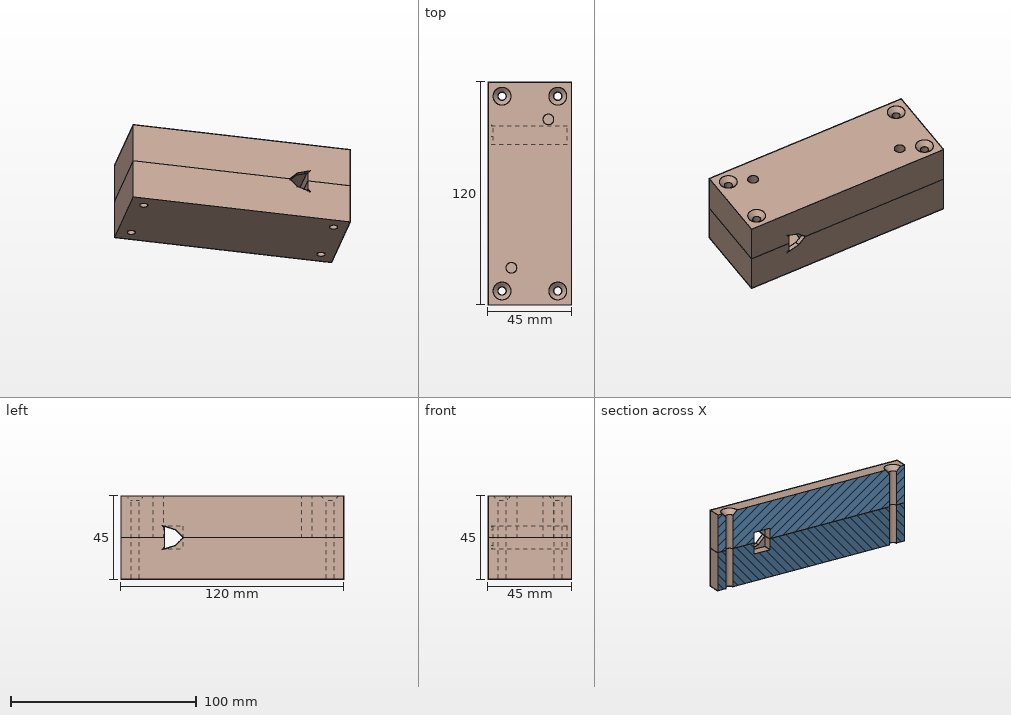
import cadquery as cq

WIDTH = 45.0
LENGTH = 120.0
HEIGHT = 45.0
HALF_HEIGHT = HEIGHT / 2
UPPER = 1
LOWER = -1

SCREW_X = 15.0
SCREW_Y = 52.5
SCREW_RADIUS = 2.2
SINK_RADIUS = 4.8
SINK_DEPTH = SINK_RADIUS - SCREW_RADIUS

DOWEL_X = 10.0
DOWEL_Y = 40.0
DOWEL_RADIUS = 2.9

TIP_Y = 26.5
SHOULDER_Z = 4.2
SHOULDER_Y = TIP_Y + SHOULDER_Z
WALL_Y = 36.5
ROOF_SLOPE = 0.32
ROOF_Z = SHOULDER_Z + ROOF_SLOPE * (WALL_Y - SHOULDER_Y)
BARB_LENGTH = 1.5
BARB_ROOT_Z = 5.0
BARB_TIP_Z = ROOF_Z + ROOF_SLOPE * BARB_LENGTH
LIP = 2.5
CHAMBER_Z = 6.2


def block(side):
    """Plain half block above (side = 1) or below (side = -1) the parting plane."""
    return cq.Workplane().box(WIDTH, LENGTH, HALF_HEIGHT).translate((0, 0, side * HALF_HEIGHT / 2))


def cut_slot(body, side):
    """Half of the slot: an arrow through the full width and a rectangular chamber between the mouths."""
    arrow = (
        cq.Workplane("YZ")
        .moveTo(TIP_Y, 0)
        .lineTo(SHOULDER_Y, side * SHOULDER_Z)
        .lineTo(WALL_Y, side * ROOF_Z)
        .lineTo(WALL_Y, 0)
        .close()
        .extrude(WIDTH / 2, both=True)
    )
    chamber = cq.Workplane().box(WIDTH - 2 * LIP, WALL_Y - TIP_Y, CHAMBER_Z).translate(
        (0, (WALL_Y + TIP_Y) / 2, side * CHAMBER_Z / 2)
    )
    return body.cut(arrow).cut(chamber)


def barb(end, side):
    """Tetrahedral notch at a mouth corner, running out where the chamber begins."""
    face_x = end * WIDTH / 2
    root = cq.Vector(face_x, WALL_Y, side * BARB_ROOT_Z)
    tip = cq.Vector(face_x, WALL_Y + BARB_LENGTH, side * BARB_TIP_Z)
    top = cq.Vector(face_x, WALL_Y, side * ROOF_Z)
    runout = cq.Vector(end * (WIDTH / 2 - LIP), WALL_Y, side * ROOF_Z)
    triangles = [(root, tip, top), (root, tip, runout), (tip, top, runout), (top, root, runout)]
    faces = [cq.Face.makeFromWires(cq.Wire.makePolygon(list(t), close=True)) for t in triangles]
    return cq.Workplane(cq.Solid.makeSolid(cq.Shell.makeShell(faces)))


def cut_barbs(body, side):
    for end in (-1, 1):
        body = body.cut(barb(end, side))
    return body


def cut_screw_holes(body, side):
    """Four clearance holes through the half block."""
    holes = (
        cq.Workplane()
        .rect(2 * SCREW_X, 2 * SCREW_Y, forConstruction=True)
        .vertices()
        .circle(SCREW_RADIUS)
        .extrude(side * HALF_HEIGHT)
    )
    return body.cut(holes)


def cut_countersinks(body):
    """Conical screw seats in the top face."""
    for x in (-SCREW_X, SCREW_X):
        for y in (-SCREW_Y, SCREW_Y):
            seat = cq.Vector(x, y, HALF_HEIGHT - SINK_DEPTH)
            body = body.cut(cq.Workplane(cq.Solid.makeCone(SCREW_RADIUS, SINK_RADIUS, SINK_DEPTH, pnt=seat)))
    return body


def cut_dowel_holes(body):
    """Two dowel holes through the upper half, down to the parting plane."""
    positions = [(DOWEL_X, DOWEL_Y), (-DOWEL_X, -DOWEL_Y)]
    return body.cut(cq.Workplane().pushPoints(positions).circle(DOWEL_RADIUS).extrude(HALF_HEIGHT))


def slotted_half(side):
    """Half block with the features that both halves share."""
    body = cut_slot(block(side), side)
    body = cut_barbs(body, side)
    return cut_screw_holes(body, side)


upper_half = cut_dowel_holes(cut_countersinks(slotted_half(UPPER)))
lower_half = slotted_half(LOWER)

result = cq.Compound.makeCompound([upper_half.solids().val(), lower_half.solids().val()])